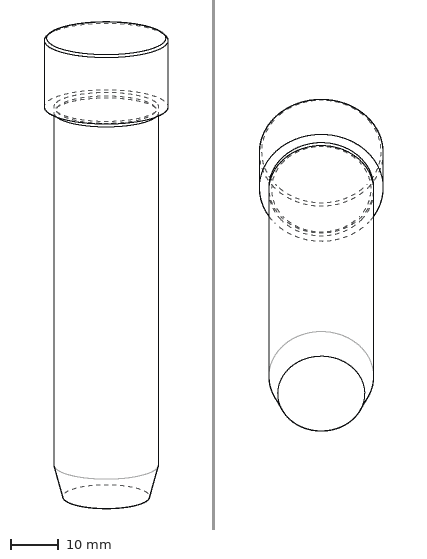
import cadquery as cq
import math

total_length = 100.0
head_diameter = 26.0
head_height = 15.0
head_chamfer = 0.5
shank_diameter = 22.0

groove_depth = 0.6

taper_length = 7.0
taper_angle = 15.0

head_radius = head_diameter / 2
shank_radius = shank_diameter / 2
groove_radius = shank_radius - groove_depth
tip_radius = shank_radius - taper_length * math.tan(math.radians(taper_angle))
head_bottom = total_length - head_height
groove_middle = head_bottom - groove_depth
groove_bottom = groove_middle - groove_depth

profile = (
    cq.Workplane("XZ")
    .moveTo(0, 0)
    .lineTo(tip_radius, 0)
    .lineTo(shank_radius, taper_length)
    .lineTo(shank_radius, groove_bottom)
    .lineTo(groove_radius, groove_middle)
    .lineTo(shank_radius, head_bottom)
    .lineTo(head_radius, head_bottom)
    .lineTo(head_radius, total_length - head_chamfer)
    .lineTo(head_radius - head_chamfer, total_length)
    .lineTo(0, total_length)
    .close()
)

result = profile.revolve(360, (0, 0, 0), (0, 1, 0))